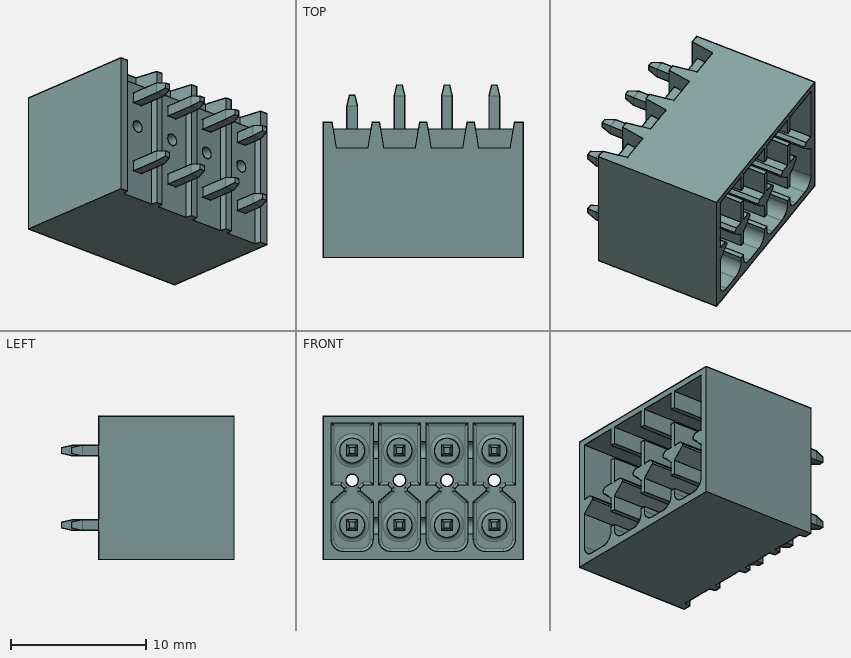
import cadquery as cq
import math


columns = 4
column_pitch = 3.5
row_pitch = 5.5
column_positions = [(i - (columns - 1) / 2) * column_pitch for i in range(columns)]
row_heights = [-row_pitch / 2, row_pitch / 2]

housing_width = 14.8
housing_depth = 10.0
housing_height = 10.6
housing_top = housing_height / 2

cavity_depth = 7.5
cavity_half_width = 1.56
top_wall = 0.5
bottom_wall = 0.6
cavity_top = housing_top - top_wall
cavity_bottom = bottom_wall - housing_top
cavity_corner_radius = 0.9
cavity_floor_fillet = 0.23
upper_lobe_bottom = 0.2
upper_neck_half_width = 0.85
throat_half_width = 0.6
throat_top = upper_lobe_bottom - (upper_neck_half_width - throat_half_width)
throat_height = 0.16
throat_bottom = throat_top - throat_height
lower_lobe_shoulder = -1.04

boss_diameter = 1.83
boss_height = 0.6
boss_base_fillet = 0.315

vent_diameter = 0.9
vent_height = 0.55

slot_width = 1.25
slot_depth = 5.0
slot_height_offset = 2.8

notch_depth = 1.9
notch_floor_half_width = 1.165
notch_mouth_half_width = 1.475
notch_height = 1.38
groove_depth = 0.5

pin_width = 0.8
pin_tip_width = 0.42
pin_taper_length = 0.8
pin_front = 3.0
long_tail = 2.75
short_tail = 2.0


def cavity(x):
    """Cavity of one column, with its floor edge rounded."""
    right_side = [
        (cavity_half_width, cavity_top),
        (cavity_half_width, upper_lobe_bottom),
        (upper_neck_half_width, upper_lobe_bottom),
        (throat_half_width, throat_top),
        (throat_half_width, throat_bottom),
        (cavity_half_width, lower_lobe_shoulder),
        (cavity_half_width, cavity_bottom),
    ]
    left_side = [(-px, pz) for px, pz in reversed(right_side)]
    return (
        cq.Workplane("XZ")
        .polyline(right_side + left_side)
        .close()
        .extrude(-cavity_depth)
        .edges("|Y and <Z")
        .fillet(cavity_corner_radius)
        .faces(">Y")
        .edges()
        .fillet(cavity_floor_fillet)
        .translate((x, 0, 0))
    )


def pin_boss(x, z):
    """Round boss that flares into the cavity floor."""
    radius = boss_diameter / 2
    top = cavity_depth - boss_height
    flare_start = cavity_depth - boss_base_fillet
    flare_radius = radius + boss_base_fillet
    flare_middle_offset = boss_base_fillet * math.cos(math.radians(45))
    return (
        cq.Workplane("XY")
        .moveTo(0, top)
        .lineTo(radius, top)
        .lineTo(radius, flare_start)
        .threePointArc(
            (flare_radius - flare_middle_offset, flare_start + flare_middle_offset),
            (flare_radius, cavity_depth),
        )
        .lineTo(0, cavity_depth)
        .close()
        .revolve(360, (0, 0, 0), (0, 1, 0))
        .translate((x, 0, z))
    )


def partition_slot(x, z):
    """Slot with a round inner end, through the partition centred at x."""
    slot_radius = slot_width / 2
    straight_depth = slot_depth - slot_radius
    partition_thickness = column_pitch - 2 * cavity_half_width
    return (
        cq.Workplane("YZ")
        .moveTo(0, -slot_radius)
        .lineTo(straight_depth, -slot_radius)
        .threePointArc((slot_depth, 0), (straight_depth, slot_radius))
        .lineTo(0, slot_radius)
        .close()
        .extrude(partition_thickness / 2, both=True)
        .translate((x, 0, z))
    )


def rear_taper(x, depth, bottom, top):
    """Cut of the given depth into the rear face; its flanks follow the notch taper."""
    flare = (notch_mouth_half_width - notch_floor_half_width) / notch_depth
    floor_half_width = notch_mouth_half_width - flare * depth
    floor_y = housing_depth - depth
    return (
        cq.Workplane("XY")
        .workplane(offset=bottom)
        .polyline([
            (x - notch_mouth_half_width, housing_depth),
            (x - floor_half_width, floor_y),
            (x + floor_half_width, floor_y),
            (x + notch_mouth_half_width, housing_depth),
        ])
        .close()
        .extrude(top - bottom)
    )


def vent_hole(x):
    """Round vent along the full depth of one column."""
    return (
        cq.Workplane("XZ")
        .center(x, vent_height)
        .circle(vent_diameter / 2)
        .extrude(-housing_depth)
    )


def pin_passage(x, z):
    """Square hole that holds one pin."""
    return (
        cq.Workplane("XZ")
        .center(x, z)
        .rect(pin_width, pin_width)
        .extrude(-housing_depth)
    )


def make_housing():
    """Housing block with all its cavities, bosses, pin holes, notches and slots."""
    body = cq.Workplane("XY").box(
        housing_width, housing_depth, housing_height, centered=(True, False, True)
    )
    for x in column_positions:
        body = body.cut(cavity(x))
        body = body.cut(vent_hole(x))
        body = body.cut(rear_taper(x, groove_depth, -housing_top, housing_top))
        body = body.cut(rear_taper(x, notch_depth, housing_top - notch_height, housing_top))
        for z in row_heights:
            body = body.union(pin_boss(x, z))
            body = body.cut(pin_passage(x, z))
    for x in column_positions[:-1]:
        for z in (-slot_height_offset, slot_height_offset):
            body = body.cut(partition_slot(x + column_pitch / 2, z))
    return body.solids()


def pin_taper(base_y, tip_y):
    """Tapered pin end between its full section and its tip."""
    return (
        cq.Workplane("XZ", origin=(0, base_y, 0))
        .rect(pin_width, pin_width)
        .workplane(offset=base_y - tip_y)
        .rect(pin_tip_width, pin_tip_width)
        .loft(ruled=True)
    )


def make_pin(x, z, tail):
    """Square pin whose tail stands out of the rear face by the given length."""
    shank_start = pin_front + pin_taper_length
    rear_tip = housing_depth + tail
    shank_end = rear_tip - pin_taper_length
    shank = (
        cq.Workplane("XZ", origin=(0, shank_start, 0))
        .rect(pin_width, pin_width)
        .extrude(shank_start - shank_end)
    )
    pin = shank.union(pin_taper(shank_start, pin_front)).union(pin_taper(shank_end, rear_tip))
    return pin.translate((x, 0, z)).solids()


housing = make_housing()

pins = []
for column, x in enumerate(column_positions):
    tail = short_tail if column == 0 else long_tail
    for z in row_heights:
        pins.append(make_pin(x, z, tail))

result = cq.Compound.makeCompound([housing.val()] + [pin.val() for pin in pins])